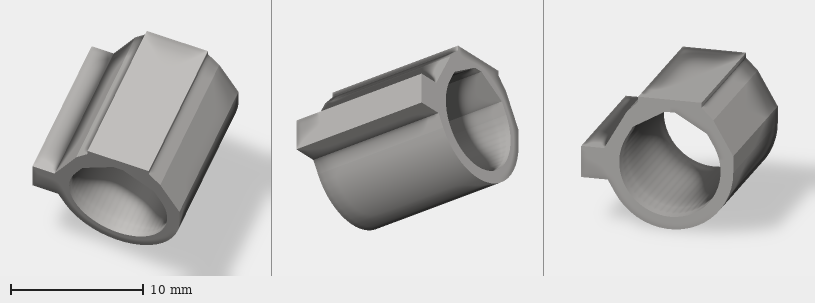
import cadquery as cq
import math

length = 12.0
bore_radius = 4.0
wall = 1.0
flat_angle = 30.0
bore_roof_width = 0.8
top_pad_width = 5.0
top_pad_step = 0.4
rib_reach = 7.0
rib_top = 1.0
rib_bottom = -1.5

outer_radius = bore_radius + wall
cos_flat = math.cos(math.radians(flat_angle))
sin_flat = math.sin(math.radians(flat_angle))
bore_roof_half = bore_roof_width / 2
bore_roof_height = (bore_radius - bore_roof_half * sin_flat) / cos_flat
top_height = bore_roof_height + wall
pad_half = top_pad_width / 2


def side_flat_x(height):
    """Distance from the axis plane to the side flat at a height above (or below) the axis."""
    return (outer_radius - abs(height) * sin_flat) / cos_flat


def extrude_along_y(profile):
    """Extrude an XZ profile to the full length, centred on Y = 0."""
    return profile.extrude(length / 2, both=True)


def make_sleeve():
    """Outer body: round underneath, flats on the sides, 45-degree shoulders and a top pad."""
    pad_base = top_height - top_pad_step
    shoulder_sum = pad_half + pad_base
    shoulder_x = (outer_radius - shoulder_sum * sin_flat) / (cos_flat - sin_flat)
    shoulder_height = shoulder_sum - shoulder_x
    right_flat_top = outer_radius * math.tan(math.radians(flat_angle / 2))
    lower_tangent = (-outer_radius * cos_flat, -outer_radius * sin_flat)
    profile = (
        cq.Workplane("XZ")
        .moveTo(outer_radius, 0)
        .lineTo(outer_radius, right_flat_top)
        .lineTo(shoulder_x, shoulder_height)
        .lineTo(pad_half, pad_base)
        .lineTo(pad_half, top_height)
        .lineTo(-pad_half, top_height)
        .lineTo(-pad_half, pad_base)
        .lineTo(-shoulder_x, shoulder_height)
        .lineTo(-side_flat_x(rib_top), rib_top)
        .lineTo(-rib_reach, rib_top)
        .lineTo(-rib_reach, rib_bottom)
        .lineTo(-side_flat_x(rib_bottom), rib_bottom)
        .lineTo(*lower_tangent)
        .threePointArc((0, -outer_radius), (outer_radius, 0))
        .close()
    )
    return extrude_along_y(profile)


def make_bore():
    """Through bore: round below, with planes touching the circle that close to a small flat roof."""
    tangent_x = bore_radius * cos_flat
    tangent_z = bore_radius * sin_flat
    corner = bore_radius / (cos_flat + sin_flat)
    profile = (
        cq.Workplane("XZ")
        .moveTo(tangent_x, tangent_z)
        .lineTo(corner, corner)
        .lineTo(bore_roof_half, bore_roof_height)
        .lineTo(-bore_roof_half, bore_roof_height)
        .lineTo(-corner, corner)
        .lineTo(-tangent_x, tangent_z)
        .threePointArc((0, -bore_radius), (tangent_x, tangent_z))
        .close()
    )
    return extrude_along_y(profile)


result = make_sleeve().cut(make_bore())